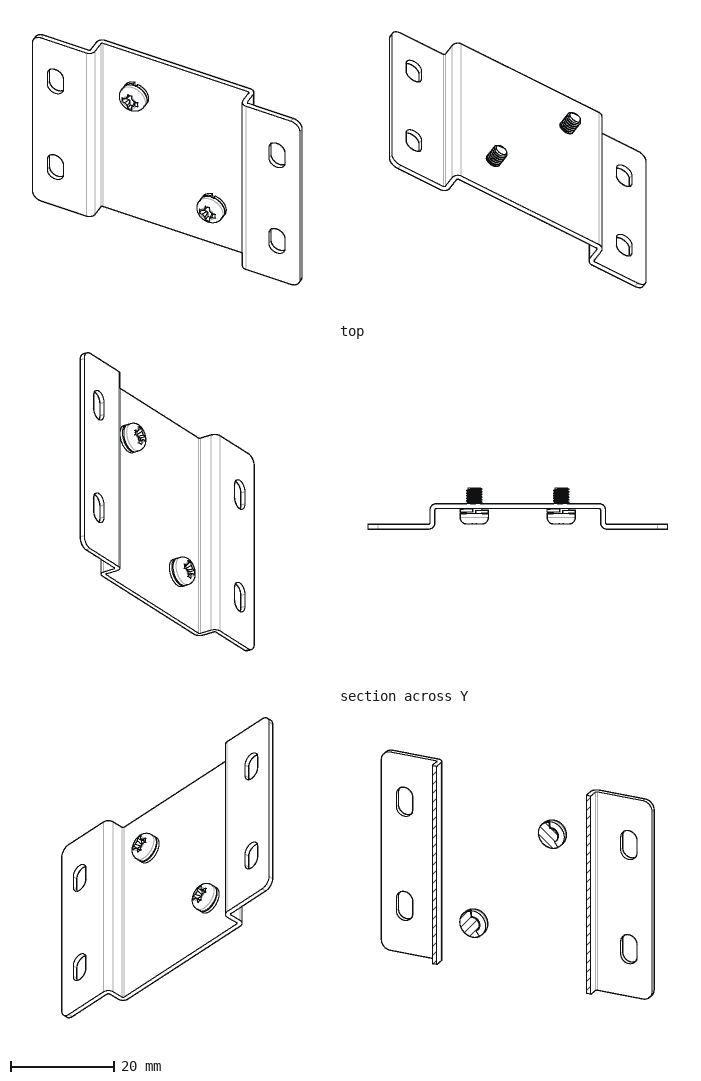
import cadquery as cq
import math

LENGTH = 58.0
HEIGHT = 42.0
SHEET = 1.0
RISE = 5.0
PANEL_HALF_WIDTH = 17.0
BEND_INNER = 0.3
BEND_OUTER = BEND_INNER + SHEET
CORNER_RADIUS = 2.0
PANEL_FRONT = RISE - SHEET

SLOT_X = 24.0
SLOT_Z = 11.0
SLOT_WIDTH = 3.5
SLOT_LENGTH = 6.1

SCREW_X = 8.4
SCREW_Z = 11.0
SCREW_CENTRES = [(-SCREW_X, SCREW_Z), (SCREW_X, -SCREW_Z)]

HEAD_DIAMETER = 5.5
HEAD_RADIUS = HEAD_DIAMETER / 2
HEAD_HEIGHT = 2.05
HEAD_ROUND = 1.35
SHANK_RADIUS = 1.5
THREAD_REACH = 3.0
THREAD_PITCH = 0.5
CORE_RADIUS = 1.2
CREST_FLAT = 0.05
ROOT_GAP = 0.05
RIDGE_SINK = 0.05

WASHER_SPACE = 1.0
WASHER_THICKNESS = 0.6
WASHER_PLAY = 0.03
WASHER_BITE = 0.1
SPLIT_WIDTH = 0.6

ARM_LENGTH = 3.4
ARM_WIDTH = 0.9
RECESS_DEPTH = 1.15
CENTRE_TOP = 1.5
CENTRE_FLOOR = 1.15

SHANK_LENGTH = WASHER_SPACE + SHEET + THREAD_REACH
THREAD_START = WASHER_SPACE + SHEET - THREAD_PITCH


def half_section():
    """Sheet section from the centre plane out to the +X flange edge, extruded over the height."""
    web_out = PANEL_HALF_WIDTH
    web_in = web_out - SHEET
    panel_end = web_out - BEND_OUTER
    flange_start = web_in + BEND_OUTER
    return (
        cq.Workplane("XY")
        .moveTo(0, RISE)
        .lineTo(panel_end, RISE)
        .radiusArc((web_out, RISE - BEND_OUTER), BEND_OUTER)
        .lineTo(web_out, BEND_OUTER)
        .radiusArc((flange_start, SHEET), -BEND_INNER)
        .lineTo(LENGTH / 2, SHEET)
        .lineTo(LENGTH / 2, 0)
        .lineTo(flange_start, 0)
        .radiusArc((web_in, BEND_OUTER), BEND_OUTER)
        .lineTo(web_in, RISE - BEND_OUTER)
        .radiusArc((panel_end, PANEL_FRONT), -BEND_INNER)
        .lineTo(0, PANEL_FRONT)
        .close()
        .extrude(HEIGHT / 2, both=True)
    )


def make_bracket():
    half = half_section()
    bracket = half.union(half.mirror("YZ"))
    bracket = bracket.edges("|Y and (<X or >X)").fillet(CORNER_RADIUS)
    slots = (
        cq.Workplane("XZ")
        .rect(2 * SLOT_X, 2 * SLOT_Z, forConstruction=True)
        .vertices()
        .slot2D(SLOT_LENGTH, SLOT_WIDTH, 90)
        .extrude(-RISE)
    )
    screw_holes = cq.Workplane("XZ").pushPoints(SCREW_CENTRES).circle(SHANK_RADIUS).extrude(-RISE)
    return bracket.cut(slots).cut(screw_holes)


def make_recess():
    """Cutter for the cross recess, reaching in from the head face."""
    arms = (
        cq.Workplane("XY", origin=(0, 0, -HEAD_HEIGHT))
        .rect(ARM_LENGTH, ARM_WIDTH)
        .extrude(RECESS_DEPTH)
        .union(
            cq.Workplane("XY", origin=(0, 0, -HEAD_HEIGHT))
            .rect(ARM_WIDTH, ARM_LENGTH)
            .extrude(RECESS_DEPTH)
        )
    )
    centre = (
        cq.Workplane("XY", origin=(0, 0, -HEAD_HEIGHT))
        .polygon(4, 2 * CENTRE_TOP)
        .workplane(offset=RECESS_DEPTH)
        .polygon(4, 2 * CENTRE_FLOOR)
        .loft(ruled=True)
    )
    return arms.union(centre)


def make_head():
    head = cq.Workplane("XY").circle(HEAD_RADIUS).extrude(-HEAD_HEIGHT)
    return head.faces("<Z").edges().fillet(HEAD_ROUND).cut(make_recess())


def sweep_helix(section, pitch, height, radius, start):
    """Sweep a section lying in the XZ plane along a right-hand helix about the Z axis."""
    helix = cq.Wire.makeHelix(pitch, height, radius).translate(cq.Vector(0, 0, start))
    return section.sweep(cq.Workplane(obj=helix), isFrenet=True)


def make_thread_ridge():
    """Helical ridge from inside the panel almost to the screw tip, rooted inside the core."""
    start = THREAD_START + THREAD_PITCH / 2
    half_root = (THREAD_PITCH - ROOT_GAP) / 2
    half_crest = CREST_FLAT / 2
    root_radius = CORE_RADIUS - RIDGE_SINK
    section = (
        cq.Workplane("XZ")
        .moveTo(root_radius, start + half_root)
        .lineTo(SHANK_RADIUS, start + half_crest)
        .lineTo(SHANK_RADIUS, start - half_crest)
        .lineTo(root_radius, start - half_root)
        .close()
    )
    height = SHANK_LENGTH - THREAD_START - THREAD_PITCH
    return sweep_helix(section, THREAD_PITCH, height, SHANK_RADIUS, start)


def make_shank():
    core = cq.Workplane("XY").circle(CORE_RADIUS).extrude(SHANK_LENGTH)
    smooth_part = cq.Workplane("XY").circle(SHANK_RADIUS).extrude(THREAD_START)
    return core.union(smooth_part).union(make_thread_ridge())


def make_lock_washer():
    """One helical turn from the head up to the panel, split on the side that faces +Z."""
    rise = WASHER_SPACE - WASHER_THICKNESS - 2 * WASHER_PLAY
    inner = SHANK_RADIUS - WASHER_BITE
    ring_width = HEAD_RADIUS - inner
    middle = (HEAD_RADIUS + inner) / 2
    section = (
        cq.Workplane("XZ")
        .center(middle, WASHER_PLAY + WASHER_THICKNESS / 2)
        .rect(ring_width, WASHER_THICKNESS)
    )
    turn = 1 - SPLIT_WIDTH / (2 * math.pi * middle)
    ring = sweep_helix(section, rise / turn, rise, middle, WASHER_PLAY)
    split_angle = math.degrees(SPLIT_WIDTH / middle)
    return ring.rotate((0, 0, 0), (0, 0, 1), split_angle / 2 - 90)


def make_screw():
    """Screw along +Y with the underside of its head a washer space in front of the panel."""
    screw = make_head().union(make_shank()).union(make_lock_washer())
    return screw.rotate((0, 0, 0), (1, 0, 0), -90).translate((0, PANEL_FRONT - WASHER_SPACE, 0))


bracket = make_bracket()
screw = make_screw()
screws = [screw.translate((x, 0, z)).val() for x, z in SCREW_CENTRES]

result = cq.Compound.makeCompound([bracket.val(), *screws])